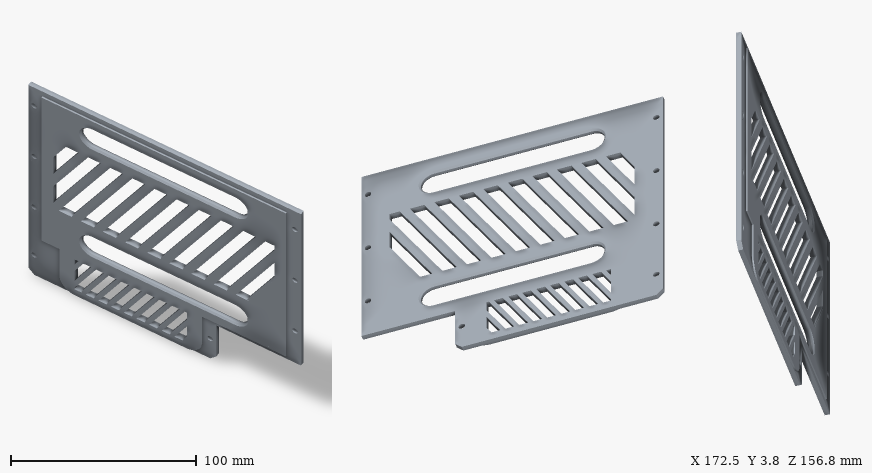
import cadquery as cq
import math

plate_width = 172.5
plate_height = 156.8
total_thickness = 3.8
tab_width = 118.9
tab_drop = 30.0
corner_chamfer = 3.8

plate_left = -plate_width / 2
plate_right = plate_width / 2
plate_top = plate_height / 2
plate_bottom = -plate_height / 2
tab_right = plate_left + tab_width
shoulder_z = plate_bottom + tab_drop

pad_thickness = 0.97
pad_side_margin = 9.0
pad_top_margin = 4.0
pad_bottom_margin = 0.3
pad_shoulder_margin = 3.0
pad_tab_left_margin = 20.4
pad_tab_right_margin = 8.5
pad_corner_radius = 10.2

pad_left = plate_left + pad_side_margin
pad_right = plate_right - pad_side_margin
pad_top = plate_top - pad_top_margin
pad_bottom = plate_bottom + pad_bottom_margin
pad_shoulder_z = shoulder_z + pad_shoulder_margin
pad_tab_left = plate_left + pad_tab_left_margin
pad_tab_right = tab_right - pad_tab_right_margin
pad_tab_center_x = (pad_tab_left + pad_tab_right) / 2

plate_thickness = total_thickness - pad_thickness

hole_diameter = 3.6
hole_inset = 3.8
top_hole_z = 63.2
hole_spacing = 42.5
side_hole_count = 3
tab_hole_z = -62.0

handle_length = 104.9
handle_height = 14.8
handle_chamfer = 1.0
handle_centers_z = (59.4, -30.7)

slit_lean = 30.0
slit_count = 11

main_grille_width = 140.1
main_grille_top = 42.8
main_grille_bottom = -13.6
main_slit_width = 7.0
main_slit_span = 140.1
main_slit_shift = -4.0

tab_grille_width = 71.3
tab_grille_top = -48.1
tab_grille_bottom = -73.2
tab_slit_width = 4.3
tab_slit_span = 80.0
tab_slit_shift = -2.6

ledge_width = 1.0
ledge_drop = 0.2

frame_width = 15.5
frame_height = 38.8
frame_center_x = 66.6
frame_center_z = -24.7
insert_width = 9.7
insert_height = 25.2
insert_center_x = 66.5
insert_center_z = -23.6


def front_plane(depth):
    """XZ plane at the given height above the back face; extruding goes towards -Y."""
    return cq.Workplane("XZ", origin=(0, -depth, 0))


def block(width, height, center_x, center_z, start, thickness):
    return front_plane(start).center(center_x, center_z).rect(width, height).extrude(thickness)


def make_plate():
    return (
        front_plane(0)
        .moveTo(plate_left, plate_top)
        .lineTo(plate_right, plate_top)
        .lineTo(plate_right, shoulder_z)
        .lineTo(tab_right, shoulder_z)
        .lineTo(tab_right, plate_bottom + corner_chamfer)
        .lineTo(tab_right - corner_chamfer, plate_bottom)
        .lineTo(plate_left + corner_chamfer, plate_bottom)
        .lineTo(plate_left, plate_bottom + corner_chamfer)
        .close()
        .extrude(plate_thickness)
    )


def make_pad():
    return (
        front_plane(plate_thickness)
        .moveTo(pad_left, pad_top)
        .lineTo(pad_right, pad_top)
        .lineTo(pad_right, pad_shoulder_z)
        .lineTo(pad_tab_right, pad_shoulder_z)
        .lineTo(pad_tab_right, pad_bottom + pad_corner_radius)
        .radiusArc((pad_tab_right - pad_corner_radius, pad_bottom), pad_corner_radius)
        .lineTo(pad_tab_left + pad_corner_radius, pad_bottom)
        .radiusArc((pad_tab_left, pad_bottom + pad_corner_radius), pad_corner_radius)
        .lineTo(pad_tab_left, pad_shoulder_z)
        .lineTo(pad_left, pad_shoulder_z)
        .close()
        .extrude(pad_thickness)
    )


def mounting_holes():
    points = [(plate_left + hole_inset, tab_hole_z), (tab_right - hole_inset, tab_hole_z)]
    for row in range(side_hole_count):
        z = top_hole_z - row * hole_spacing
        points.append((plate_left + hole_inset, z))
        points.append((plate_right - hole_inset, z))
    return front_plane(0).pushPoints(points).circle(hole_diameter / 2).extrude(total_thickness)


def handle_slot(center_z, margin, depth):
    """Round-ended slot sketch, grown by the margin all round."""
    length = handle_length + 2 * margin
    height = handle_height + 2 * margin
    return front_plane(depth).center(0, center_z).slot2D(length, height)


def handle_opening(center_z):
    """Round-ended opening that widens with a chamfer at the front and back faces."""
    opening = handle_slot(center_z, 0, 0).extrude(total_thickness)
    front_flare = handle_slot(center_z, handle_chamfer, total_thickness).extrude(-handle_chamfer, taper=45)
    back_flare = handle_slot(center_z, handle_chamfer, 0).extrude(handle_chamfer, taper=45)
    return opening.union(front_flare).union(back_flare)


def slit(width, center_x, bottom, top, start, thickness):
    """Leaning slit of the given perpendicular width, centred at mid height."""
    lean = math.radians(slit_lean)
    half_run = (top - bottom) / 2 * math.tan(lean)
    half_width = width / 2 / math.cos(lean)
    return (
        front_plane(start)
        .polyline(
            [
                (center_x - half_run - half_width, bottom),
                (center_x - half_run + half_width, bottom),
                (center_x + half_run + half_width, top),
                (center_x + half_run - half_width, top),
            ]
        )
        .close()
        .extrude(thickness)
    )


def slit_offset(index, span):
    """Sideways distance of a slit from the middle slit of its row."""
    return (index / (slit_count - 1) - 0.5) * span


def grille(center_x, width, bottom, top, slit_width, span, shift):
    window = block(width, top - bottom, center_x, (top + bottom) / 2, 0, total_thickness)
    slits = cq.Workplane("XZ")
    for index in range(slit_count):
        x = center_x + shift + slit_offset(index, span)
        slits = slits.add(slit(slit_width, x, bottom, top, 0, total_thickness))
    return slits.combine().intersect(window)


def main_grille():
    openings = grille(
        0, main_grille_width, main_grille_bottom, main_grille_top, main_slit_width, main_slit_span, main_slit_shift
    )
    lean = math.radians(slit_lean)
    last_slit_x = main_slit_shift + main_slit_span / 2
    ledge_x = last_slit_x + (main_slit_width - ledge_width) / 2 / math.cos(lean)
    ledge = slit(ledge_width, ledge_x, main_grille_bottom, main_grille_top, 0, total_thickness - ledge_drop)
    return openings.cut(ledge)


def tab_grille():
    return grille(
        pad_tab_center_x,
        tab_grille_width,
        tab_grille_bottom,
        tab_grille_top,
        tab_slit_width,
        tab_slit_span,
        tab_slit_shift,
    )


def frame_blank():
    return block(frame_width, frame_height, frame_center_x, frame_center_z, plate_thickness, pad_thickness)


def make_insert():
    return block(insert_width, insert_height, insert_center_x, insert_center_z, plate_thickness, pad_thickness)


def make_frame():
    return frame_blank().cut(make_insert())


def make_panel():
    panel = make_plate().union(make_pad()).cut(mounting_holes())
    for center_z in handle_centers_z:
        panel = panel.cut(handle_opening(center_z))
    return panel.cut(main_grille()).cut(tab_grille()).cut(frame_blank())


panel = make_panel()
frame = make_frame()
insert = make_insert()

result = cq.Compound.makeCompound([panel.val(), frame.val(), insert.val()])